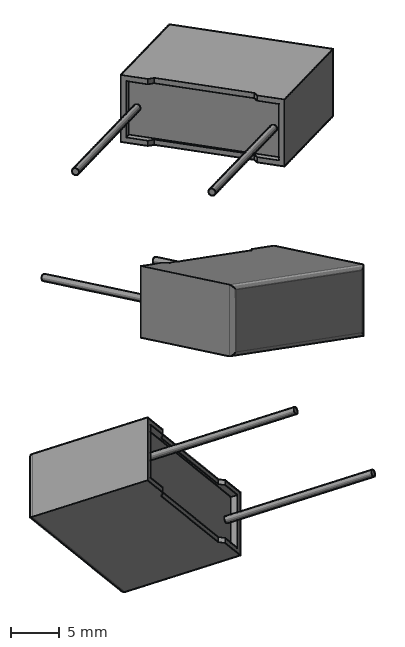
import cadquery as cq


total_length = 31.5
case_width = 18.0
case_length = 14.5
case_height = 7.5
wall = 0.6
back_edge_radius = 0.5

relief_depth = 0.5
relief_mouth_width = 12.0
relief_floor_width = 11.0

potting_recess = 0.8

lead_diameter = 0.8
lead_pitch = 15.0
lead_tip_y = case_length - total_length

cavity_width = case_width - 2 * wall
cavity_height = case_height - 2 * wall
cavity_end_y = case_length - wall


def block(width, height, y_start, y_end):
    """Box centred on X and Z, spanning y_start to y_end."""
    length = y_end - y_start
    return (
        cq.Workplane("XY")
        .box(width, length, height, centered=(True, False, True))
        .translate((0, y_start, 0))
    )


def make_rim_relief():
    """Trapezoidal cutter through both long walls at the open rim."""
    return (
        cq.Workplane("XY")
        .polyline([
            (-relief_mouth_width / 2, 0),
            (relief_mouth_width / 2, 0),
            (relief_floor_width / 2, relief_depth),
            (-relief_floor_width / 2, relief_depth),
        ])
        .close()
        .extrude(case_height / 2, both=True)
    )


def make_case():
    """Open box with rounded back edges and a relieved rim."""
    shell = block(case_width, case_height, 0, case_length)
    shell = shell.faces(">Y").edges().fillet(back_edge_radius)
    cavity = block(cavity_width, cavity_height, 0, cavity_end_y)
    return shell.cut(cavity).cut(make_rim_relief())


def make_potting():
    """Solid filling that stops short of the open rim."""
    return block(cavity_width, cavity_height, potting_recess, cavity_end_y)


def make_lead(x):
    """Round wire running from the potting's face to the tip, along -Y."""
    return (
        cq.Workplane("XZ", origin=(x, potting_recess, 0))
        .circle(lead_diameter / 2)
        .extrude(potting_recess - lead_tip_y)
    )


case = make_case()
potting = make_potting()
leads = [make_lead(side * lead_pitch / 2) for side in (-1, 1)]

result = cq.Compound.makeCompound([case.val(), potting.val(), *[lead.val() for lead in leads]])